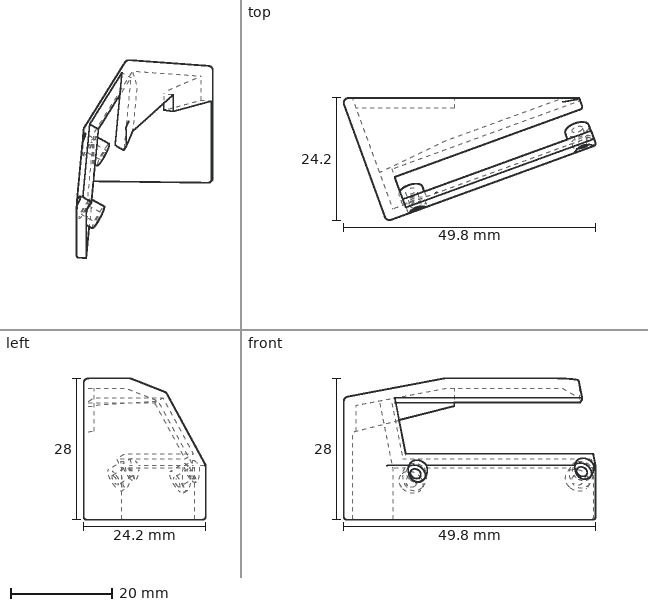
import cadquery as cq
import math

height = 28.0
panel_angle = 20
corner_x, corner_y = 8.45, -24.45
panel_length = 44.2
wall = 2.0
margin = 74.75
tolerance = 0.005

knee_height = 10.8
lean = 30

ridge_x = 19.95
roof_pitch = 10.7

edge_radius = 1.0
rim_radius = 0.6

window_bottom = 13.1
window_top = 24.15
window_inset = 4.55

web_end_x = 21.9
web_end_z = 22.45
web_pitch = 14.2

screw_spots = [(6.6, 9.1), (41.65, 9.5)]
boss_diameter = 5.0
counterbore_diameter = 4.0
screw_diameter = 2.2
seat_depth = 1.9
boss_length = 3.3

lean_tan = math.tan(math.radians(lean))
turn = math.radians(panel_angle)
roof_tan = math.tan(math.radians(roof_pitch))


def place(shape):
    """Move a shape from panel axes (X along, Y inward) to the part axes."""
    return shape.rotate((0, 0, 0), (0, 0, 1), panel_angle).translate((corner_x, corner_y, 0))


def panel_prism(start, length, inset):
    """Everything behind the panel face, moved inward by the inset."""
    knee_shift = inset * math.tan(math.radians(lean / 2))
    knee = knee_height - knee_shift
    top_y = inset + (margin - knee) * lean_tan
    outline = [(inset, -margin), (inset, knee), (top_y, margin), (2 * margin, margin), (2 * margin, -margin)]
    return place(cq.Workplane("YZ").polyline(outline).close().extrude(length).translate((start, 0, 0)))


def roof_prism(drop, bottom, back):
    """Everything under the roof, with the roof lowered by the drop along its normal."""
    top = height - drop
    ridge = ridge_x + drop * math.tan(math.radians(roof_pitch / 2))
    outline = [(-margin, bottom), (2 * margin, bottom), (2 * margin, top), (ridge, top),
               (-margin, top - (ridge + margin) * roof_tan)]
    return cq.Workplane("XZ", origin=(0, back, 0)).polyline(outline).close().extrude(2 * margin)


def edges_on(body, test):
    """Edges whose middle point, in panel axes, passes the test."""
    def local(edge):
        point = edge.positionAt(0.5) - cq.Vector(corner_x, corner_y, 0)
        along = point.x * math.cos(turn) + point.y * math.sin(turn)
        inward = point.y * math.cos(turn) - point.x * math.sin(turn)
        return along, inward, point.z
    return body.newObject([edge for edge in body.edges().vals() if test(*local(edge))])


def make_front_body():
    """Panel, end wall and roof with rounded edges; the back is left far away."""
    body = panel_prism(0, panel_length, 0).intersect(roof_prism(0, 0, margin))

    def on_face(inward, z):
        return abs(inward - max(0, z - knee_height) * lean_tan) < tolerance

    def is_outer(along, inward, z):
        on_end = abs(along) < tolerance
        roof_edge = z > window_top and along < panel_length - tolerance and on_face(inward, z)
        return z > tolerance and (on_end or roof_edge)

    def is_rim(along, inward, z):
        right_edge = along > panel_length - tolerance and on_face(inward, z)
        return z < tolerance or right_edge

    body = edges_on(body, is_outer).fillet(edge_radius)
    return edges_on(body, is_rim).fillet(rim_radius)


def make_back_body():
    """End wall and roof meeting the flat back; the panel is left far away."""
    back_length = 2 * margin
    block = place(cq.Workplane("XY").box(back_length, 4 * margin, 2 * margin, centered=(False, True, True)))
    body = block.intersect(roof_prism(0, 0, 0))

    def is_rounded(along, inward, z):
        on_back = abs(corner_y + along * math.sin(turn) + inward * math.cos(turn)) < tolerance
        on_end = abs(along) < tolerance
        return z > tolerance and (on_end or on_back) and along < back_length - tolerance

    body = edges_on(body, is_rounded).fillet(edge_radius)
    return body.faces(">Y").edges("<Z").fillet(rim_radius)


def make_cavity():
    """Hollow below the roof, open at the bottom, the right end and the back."""
    hollow = panel_prism(wall, margin, wall).intersect(roof_prism(wall, -margin, margin))
    web_rise = math.tan(math.radians(web_pitch)) * (web_end_x + margin)
    web = (
        cq.Workplane("XZ")
        .polyline([(-margin, web_end_z - web_rise), (web_end_x, web_end_z),
                   (web_end_x, height), (-margin, height)])
        .close().extrude(wall)
    )
    return hollow.cut(web)


def leaning_plane(along, z, depth):
    """Plane parallel to the leaning face, at a depth behind it; Y points up the slope."""
    tilt = math.radians(lean)
    base_y = (z - knee_height) * lean_tan + depth / math.cos(tilt)
    return cq.Plane(origin=(along, base_y, z), xDir=(1, 0, 0),
                    normal=(0, -math.cos(tilt), math.sin(tilt)))


def make_window():
    """Cut square to the leaning face and running out through the right end."""
    slope_length = (window_top - window_bottom) / math.cos(math.radians(lean))
    cutter = (
        cq.Workplane(leaning_plane(window_inset, window_bottom, 0))
        .rect(margin, slope_length, centered=False).extrude(wall, both=True)
    )
    return place(cutter)


def add_bosses(body):
    behind_face = panel_prism(0, panel_length, wall / 2)
    for along, z in screw_spots:
        seat = cq.Workplane(leaning_plane(along, z, seat_depth))
        boss = seat.circle(boss_diameter / 2).extrude(-boss_length)
        counterbore = seat.circle(counterbore_diameter / 2).extrude(margin)
        screw_hole = seat.circle(screw_diameter / 2).extrude(-boss_length)
        body = body.union(place(boss).intersect(behind_face)).cut(place(counterbore)).cut(place(screw_hole))
    return body


outer = make_front_body().intersect(make_back_body())
shell = outer.cut(make_cavity()).cut(make_window())
result = add_bosses(shell)